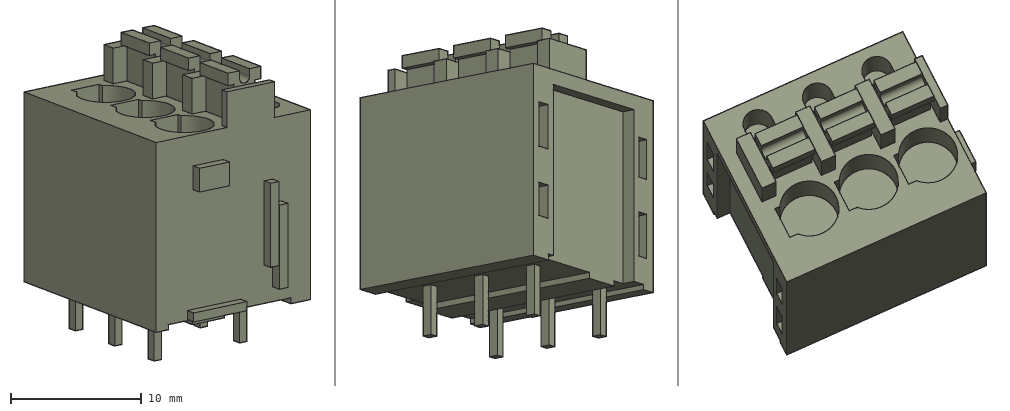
import cadquery as cq


pole_count = 3
pole_pitch = 5.07

block_length = 17.03
block_depth = 14.8
block_height = 15.24

first_rib_x = 1.15
rib_width = 1.2
rib_front_y = 6.8
rib_back_y = 11.35
rib_height = 2.87

lever_gap = 0.07
lever_width = 3.62
lever_center_y = 9.1
lever_stem_depth = 2.0
lever_head_depth = 3.15
lever_height = 4.02
lever_head_height = 1.0
groove_width = 0.95
groove_depth = 1.07

first_wire_entry_x = 4.2
wire_entry_y = 4.73
wire_entry_radius = 2.27
entry_notch_reach = 2.39
entry_notch_front_y = 3.23
entry_notch_back_y = 5.87

first_test_opening_x = 3.7
test_opening_radius = 1.15
test_opening_front_y = 11.82
test_opening_arc_y = 12.75

opening_depth = 3.0

end_recess_depth = 1.1
end_recess_front_y = 2.39
end_recess_back_y = 12.33
end_recess_height = 14.05
end_slot_depth = 1.14
back_slot_y = (12.98, 14.1)
back_slot_levels = [(3.3, 5.94), (8.8, 12.33)]
front_slot_y = (0.82, 1.77)
front_slot_levels = [(2.55, 6.05), (8.82, 11.98)]

front_channel_y = (1.18, 3.48)
front_channel_height = 0.4
back_channel_y = (6.53, 12.92)
back_channel_height = 0.48

tab_reach = 0.82
long_tab_reach = 0.86
upper_tab_y = (3.55, 6.44)
upper_tab_z = (10.82, 12.73)
lower_tab_y = (2.98, 8.1)
lower_tab_z = (0.5, 1.23)
bar_tab_width = 0.82
bar_tab_length = 6.75
front_bar_y = 10.35
front_bar_z = 3.57
back_bar_z = 1.68

first_pin_x = 2.85
pin_width = 0.8
pin_depth = 0.7
front_pin_y = 2.23
back_pin_y = 10.41
pin_drop = 3.48


def box_between(x_range, y_range, z_range):
    """Box that fills the given (low, high) ranges along X, Y and Z."""
    return cq.Workplane("XY").box(
        x_range[1] - x_range[0],
        y_range[1] - y_range[0],
        z_range[1] - z_range[0],
        centered=False,
    ).translate((x_range[0], y_range[0], z_range[0]))


def pole_positions(first_x, count=pole_count):
    """X positions of a feature that repeats at the pole pitch."""
    return [first_x + index * pole_pitch for index in range(count)]


def make_ribs():
    """Full ribs left of every lever, and a last one cut off at the right end of the block."""
    ribs = []
    for rib_x in pole_positions(first_rib_x, pole_count + 1):
        rib_end_x = min(rib_x + rib_width, block_length)
        ribs.append(
            box_between(
                (rib_x, rib_end_x),
                (rib_front_y, rib_back_y),
                (block_height, block_height + rib_height),
            )
        )
    return ribs


def make_tabs():
    """Two cross tabs and a pair of staggered upright bars on the right end."""
    tab_x = (block_length, block_length + tab_reach)
    long_tab_x = (block_length, block_length + long_tab_reach)
    back_bar_y = front_bar_y + bar_tab_width
    front_bar_range = (front_bar_y, back_bar_y)
    back_bar_range = (back_bar_y, back_bar_y + bar_tab_width)
    return [
        box_between(tab_x, upper_tab_y, upper_tab_z),
        box_between(tab_x, lower_tab_y, lower_tab_z),
        box_between(tab_x, front_bar_range, (front_bar_z, front_bar_z + bar_tab_length)),
        box_between(long_tab_x, back_bar_range, (back_bar_z, back_bar_z + bar_tab_length)),
    ]


def make_wire_entry(center_x):
    entry_z = (block_height - opening_depth, block_height)
    notch = box_between(
        (center_x - entry_notch_reach, center_x),
        (entry_notch_front_y, entry_notch_back_y),
        entry_z,
    )
    bore = (
        cq.Workplane("XY", origin=(center_x, wire_entry_y, entry_z[0]))
        .circle(wire_entry_radius)
        .extrude(opening_depth)
    )
    return bore.union(notch)


def make_test_opening(center_x):
    left_x = center_x - test_opening_radius
    right_x = center_x + test_opening_radius
    return (
        cq.Workplane("XY", origin=(0, 0, block_height - opening_depth))
        .moveTo(left_x, test_opening_front_y)
        .lineTo(right_x, test_opening_front_y)
        .lineTo(right_x, test_opening_arc_y)
        .threePointArc((center_x, test_opening_arc_y + test_opening_radius), (left_x, test_opening_arc_y))
        .close()
        .extrude(opening_depth)
    )


def cut_left_end(body):
    body = body.cut(
        box_between(
            (0, end_recess_depth),
            (end_recess_front_y, end_recess_back_y),
            (0, end_recess_height),
        )
    )
    for slot_y, levels in ((front_slot_y, front_slot_levels), (back_slot_y, back_slot_levels)):
        for slot_z in levels:
            body = body.cut(box_between((0, end_slot_depth), slot_y, slot_z))
    return body


def cut_underside(body):
    body = body.cut(box_between((0, block_length), front_channel_y, (0, front_channel_height)))
    return body.cut(box_between((0, block_length), back_channel_y, (0, back_channel_height)))


def make_housing():
    body = box_between((0, block_length), (0, block_depth), (0, block_height))
    for addition in make_ribs() + make_tabs():
        body = body.union(addition)
    for entry_x in pole_positions(first_wire_entry_x):
        body = body.cut(make_wire_entry(entry_x))
    for opening_x in pole_positions(first_test_opening_x):
        body = body.cut(make_test_opening(opening_x))
    body = cut_left_end(body)
    return cut_underside(body)


def make_lever(left_x):
    lever_x = (left_x, left_x + lever_width)
    top_z = block_height + lever_height
    head_z = top_z - lever_head_height
    groove_radius = groove_width / 2
    groove_axis_z = top_z - groove_depth + groove_radius

    def centered_y(depth):
        return (lever_center_y - depth / 2, lever_center_y + depth / 2)

    stem = box_between(lever_x, centered_y(lever_stem_depth), (block_height, head_z))
    head = box_between(lever_x, centered_y(lever_head_depth), (head_z, top_z))
    groove_walls = box_between(lever_x, centered_y(groove_width), (groove_axis_z, top_z))
    groove_floor = (
        cq.Workplane("YZ", origin=(left_x, lever_center_y, groove_axis_z))
        .circle(groove_radius)
        .extrude(lever_width)
    )
    return stem.union(head).cut(groove_walls).cut(groove_floor)


def make_pin(left_x, front_y, top_z):
    return box_between((left_x, left_x + pin_width), (front_y, front_y + pin_depth), (-pin_drop, top_z))


housing = make_housing()

first_lever_x = first_rib_x + rib_width + lever_gap
levers = [make_lever(lever_x) for lever_x in pole_positions(first_lever_x)]

pins = []
for pin_x in pole_positions(first_pin_x):
    pins.append(make_pin(pin_x, front_pin_y, front_channel_height))
    pins.append(make_pin(pin_x, back_pin_y, back_channel_height))

result = cq.Compound.makeCompound([
    housing.solids().val(),
    *[lever.solids().val() for lever in levers],
    *[pin.solids().val() for pin in pins],
])